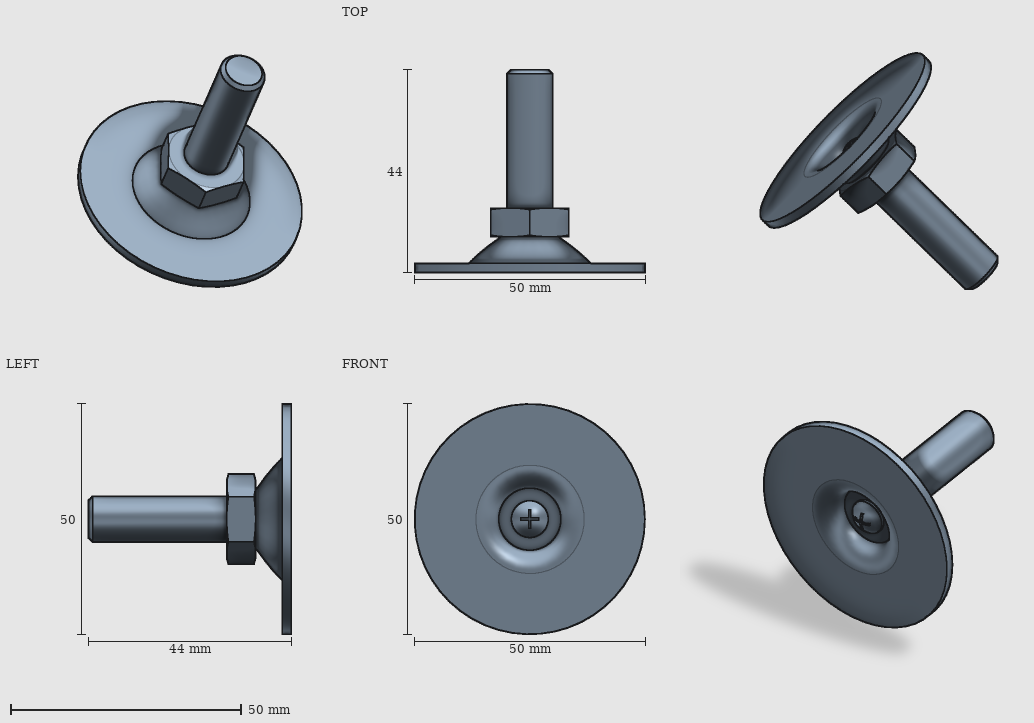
import cadquery as cq
import math


nut_bottom_y = 7.75
nut_thickness = 6.25
nut_across_flats = 17.0
nut_chamfer_angle = 15.0
stud_diameter = 10.0
stud_end_y = 44.0
stud_chamfer = 0.9

plate_diameter = 50.0
plate_thickness = 2.0
hub_base_radius = 13.25
hub_top_radius = 6.85
hub_bevel = 0.45
hub_top_y = nut_bottom_y - hub_bevel
hub_bulge = 0.15

recess_mouth_radius = 11.75
recess_floor_radius = 6.75
recess_depth = recess_mouth_radius - recess_floor_radius

head_diameter = 8.0
head_rim_height = 0.75
head_dome_height = 2.3
cross_length = 4.0
cross_width = 0.5
cross_depth = 1.0


def revolve_about_y(profile):
    return profile.close().revolve(360, (0, 0, 0), (0, 1, 0))


def along_y(start_y):
    """Workplane facing +Y, with its local x along -X and local y along +Z."""
    return cq.Workplane("XZ", origin=(0, start_y, 0)).transformed(rotate=(0, 180, 0))


def make_base():
    flank_middle = (
        (hub_base_radius + hub_top_radius) / 2 + hub_bulge,
        (plate_thickness + hub_top_y) / 2 + hub_bulge,
    )
    return revolve_about_y(
        cq.Workplane("XY")
        .lineTo(plate_diameter / 2, 0)
        .lineTo(plate_diameter / 2, plate_thickness)
        .lineTo(hub_base_radius, plate_thickness)
        .threePointArc(flank_middle, (hub_top_radius, hub_top_y))
        .lineTo(hub_top_radius - hub_bevel, nut_bottom_y)
        .lineTo(0, nut_bottom_y)
    )


def make_recess():
    diagonal = math.sqrt(0.5)
    wall_middle = (
        recess_mouth_radius - recess_depth * diagonal,
        recess_depth * (1 - diagonal),
    )
    return revolve_about_y(
        cq.Workplane("XY")
        .lineTo(recess_mouth_radius, 0)
        .threePointArc(wall_middle, (recess_floor_radius, recess_depth))
        .lineTo(0, recess_depth)
    )


def make_screw_head():
    radius = head_diameter / 2
    rim_y = recess_depth - head_rim_height
    crown_y = rim_y - head_dome_height
    dome_radius = (radius**2 + head_dome_height**2) / (2 * head_dome_height)
    middle_radius = radius / 2
    middle_y = crown_y + dome_radius - math.sqrt(dome_radius**2 - middle_radius**2)
    head = revolve_about_y(
        cq.Workplane("XY")
        .moveTo(0, nut_bottom_y)
        .lineTo(radius, nut_bottom_y)
        .lineTo(radius, rim_y)
        .threePointArc((middle_radius, middle_y), (0, crown_y))
    )
    for width, height in ((cross_length, cross_width), (cross_width, cross_length)):
        slot = along_y(0).rect(width, height).extrude(crown_y + cross_depth)
        head = head.cut(slot)
    return head


def make_nut():
    corner_radius = nut_across_flats / math.sqrt(3)
    flat_radius = nut_across_flats / 2
    drop = (corner_radius - flat_radius) * math.tan(math.radians(nut_chamfer_angle))
    top_y = nut_bottom_y + nut_thickness
    hexagon = (
        along_y(nut_bottom_y)
        .transformed(rotate=(0, 0, 90))
        .polygon(6, 2 * corner_radius)
        .extrude(nut_thickness)
    )
    chamfer_envelope = revolve_about_y(
        cq.Workplane("XY")
        .moveTo(0, nut_bottom_y)
        .lineTo(flat_radius, nut_bottom_y)
        .lineTo(corner_radius, nut_bottom_y + drop)
        .lineTo(corner_radius, top_y - drop)
        .lineTo(flat_radius, top_y)
        .lineTo(0, top_y)
    )
    return hexagon.intersect(chamfer_envelope)


def make_stud():
    radius = stud_diameter / 2
    return revolve_about_y(
        cq.Workplane("XY")
        .moveTo(0, nut_bottom_y)
        .lineTo(radius, nut_bottom_y)
        .lineTo(radius, stud_end_y - stud_chamfer)
        .lineTo(radius - stud_chamfer, stud_end_y)
        .lineTo(0, stud_end_y)
    )


foot = make_base().cut(make_recess()).union(make_screw_head())
result = foot.union(make_nut()).union(make_stud())